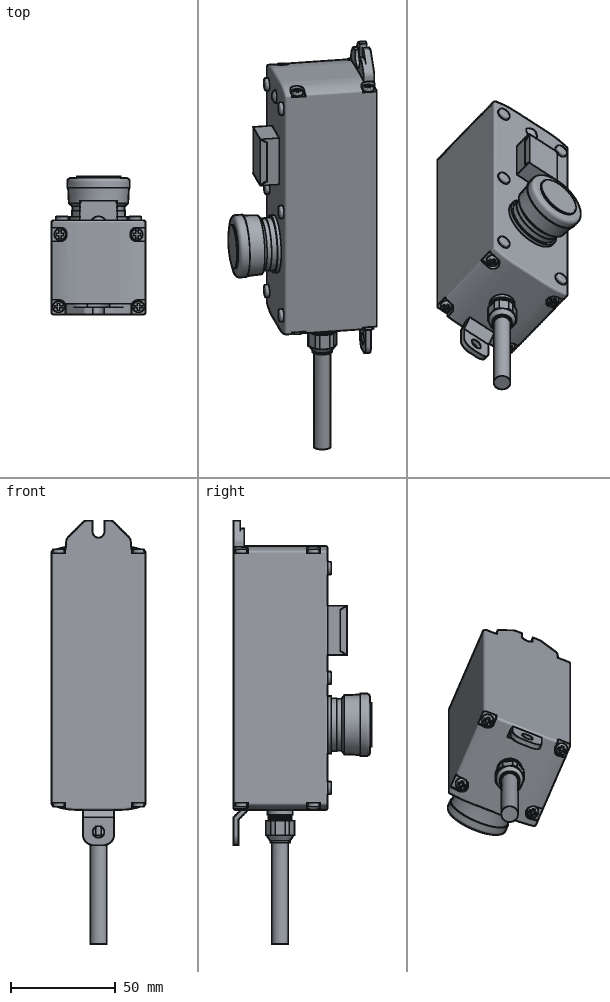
import cadquery as cq
import math


MARGIN = 1.0
PICK_RANGE = 0.1
OVERALL_LENGTH = 201.9

WIDTH = 45.0
DEPTH = 45.0
TUBE_LENGTH = 112.0
CORNER_RADIUS = 1.2
CAP_HEIGHT = 7.0
CAP_FLAT_HALF = 10.0
CAP_SLOPE_RADIUS = 32.0
CAP_EDGE_RADIUS = 1.3

POCKET_FLOOR = 3.6
POCKET_RADIUS = 3.3
POCKET_ROUND = 3.2
CAP_HEAD_RADIUS = 2.7
CAP_HEAD_HEIGHT = 1.9
CAP_HEAD_ROUND = 0.6
CROSS_LENGTH = 3.4
CROSS_WIDTH = 1.1
CROSS_DEPTH = 1.0
REAR_SCREW = (19.1, 3.7)
FRONT_SCREW = (18.4, 38.2)

COVER_HEAD_RADIUS = 3.1
COVER_HEAD_HEIGHT = 1.8
COVER_HEAD_ROUND = 0.8
COVER_SCREW_X = 17.4
COVER_SCREW_INSET = 3.6

LUG_HALF_WIDTH = 15.5
LUG_PLATE = 3.4
LUG_THICKNESS = 5.2
LUG_TOP = 19.0
LUG_STEP = 15.3
LUG_TIP_HALF = 6.65
LUG_SHOULDER = LUG_TOP - (LUG_HALF_WIDTH - LUG_TIP_HALF)
LUG_SHOULDER_ROUND = 3.4
LUG_TIP_ROUND = 1.5
LUG_STEP_ROUND = 4.0
SLOT_RADIUS = 2.75
SLOT_CENTRE = 13.7
SLOT_RECESS_RADIUS = 5.5

TAB_WIDTH = 15.0
TAB_THICKNESS = 2.5
TAB_BOTTOM = -23.7
TAB_BEND = -10.5
TAB_BEND_ANGLE = 45.0
TAB_ROUND = 5.0
TAB_ROOT = 1.0
TAB_HOLE_RADIUS = 2.75
TAB_HOLE_Z = -17.4

DOME_RADIUS = 3.3
DOME_HEIGHT = 1.8
DOME_Z = TUBE_LENGTH - COVER_SCREW_INSET

ROCKER_WIDTH = 17.8
ROCKER_LENGTH = 23.5
ROCKER_HEIGHT = 9.2
ROCKER_Z = 78.7
ROCKER_RECESS_HEIGHT = 3.3
ROCKER_RECESS_INSET = 2.0
ROCKER_RECESS_DEPTH = 0.5

BUTTON_Z = 33.7
BUTTON_TOP = 65.95
BASE_RING_RADIUS = 13.8
BASE_RING_TOP = 46.7
COLLAR_RADIUS = 12.7
NECK_RADIUS = 12.5
COLLAR_TOP = 49.4
NECK_TOP = 51.6
SKIRT_BOTTOM = 53.0
SKIRT_RADIUS = 14.2
SKIRT_TOP_RADIUS = 14.6
CROWN_BOTTOM = 60.4
CROWN_RADIUS = 15.0
CROWN_SHOULDER = 63.3
CROWN_TOP = 65.2
CROWN_ROUND = CROWN_TOP - CROWN_SHOULDER
DISC_RADIUS = 10.5

GLAND_Y = 22.3
FLANGE_RADIUS = 6.1
FLANGE_BOTTOM = -9.3
THREAD_RADIUS = 5.6
THREAD_DEPTH = 0.4
THREAD_GROOVES = 3
NUT_TOP = -12.0
NUT_BOTTOM = -19.1
NUT_RADIUS = 6.92
NUT_FLATS = 13.0
SLEEVE_RADIUS = 4.75
SLEEVE_TOP = -21.6
SLEEVE_BOTTOM = -22.5
CABLE_RADIUS = 4.0
CABLE_BOTTOM = TUBE_LENGTH + LUG_TOP - OVERALL_LENGTH


def block(x_range, y_range, z_range):
    """Axis-aligned box between the given limits."""
    size = [high - low for low, high in (x_range, y_range, z_range)]
    corner = (x_range[0], y_range[0], z_range[0])
    return cq.Workplane("XY").box(*size, centered=False).translate(corner)


def rod(radius, top, bottom):
    """Upright cylinder on the cable axis."""
    return cq.Workplane("XY", origin=(0, GLAND_Y, bottom)).circle(radius).extrude(top - bottom)


def on_top(shape):
    """Move a shape built above Z = 0 onto the upper end of the tube."""
    return shape.translate((0, 0, TUBE_LENGTH))


def make_tube():
    tube = block((-WIDTH / 2, WIDTH / 2), (0, DEPTH), (0, TUBE_LENGTH))
    return tube.edges("|Z").fillet(CORNER_RADIUS)


def slope_height(x):
    """Height of the crowned cap at distance x from its middle."""
    offset = x - CAP_FLAT_HALF
    return CAP_HEIGHT - CAP_SLOPE_RADIUS + math.sqrt(CAP_SLOPE_RADIUS**2 - offset**2)


def make_cap_blank():
    """Crowned cap: flat middle strip falling away in tangent arcs to both sides."""
    edge = WIDTH / 2
    middle = (CAP_FLAT_HALF + edge) / 2
    outline = (
        cq.Workplane("XZ", origin=(0, DEPTH, 0))
        .moveTo(-edge, 0)
        .lineTo(-edge, slope_height(edge))
        .threePointArc((-middle, slope_height(middle)), (-CAP_FLAT_HALF, CAP_HEIGHT))
        .lineTo(CAP_FLAT_HALF, CAP_HEIGHT)
        .threePointArc((middle, slope_height(middle)), (edge, slope_height(edge)))
        .lineTo(edge, 0)
        .close()
    )
    cap = outline.extrude(DEPTH)
    top_of_side = slope_height(edge)
    side_edges = cq.selectors.BoxSelector(
        (-WIDTH, -MARGIN, top_of_side - PICK_RANGE), (WIDTH, DEPTH, top_of_side + PICK_RANGE)
    )
    cap = cap.edges("|Y").edges(side_edges).fillet(CAP_EDGE_RADIUS)
    return cap.edges("|Z").fillet(CORNER_RADIUS)


def make_rear_pocket():
    """Corner pocket, open to the mounting face and to one side."""
    x, y = REAR_SCREW
    pocket = block(
        (x - POCKET_RADIUS, WIDTH / 2 + MARGIN),
        (-MARGIN, y + POCKET_RADIUS),
        (POCKET_FLOOR, CAP_HEIGHT + MARGIN),
    )
    return pocket.edges("|Z and <X and >Y").fillet(POCKET_ROUND)


def make_front_pocket():
    """Round-ended pocket, open to one side."""
    x, y = FRONT_SCREW
    pocket = block(
        (x - POCKET_RADIUS, WIDTH / 2 + MARGIN),
        (y - POCKET_RADIUS, y + POCKET_RADIUS),
        (POCKET_FLOOR, CAP_HEIGHT + MARGIN),
    )
    return pocket.edges("|Z and <X").fillet(POCKET_ROUND)


def make_cap_screw(centre):
    """Pan head with a cross recess, seated on the pocket floor."""
    x, y = centre
    head = cq.Workplane("XY", origin=(x, y, POCKET_FLOOR)).circle(CAP_HEAD_RADIUS).extrude(CAP_HEAD_HEIGHT)
    head = head.faces(">Z").edges().fillet(CAP_HEAD_ROUND)
    top = cq.Workplane("XY", origin=(x, y, POCKET_FLOOR + CAP_HEAD_HEIGHT))
    for length, width in ((CROSS_LENGTH, CROSS_WIDTH), (CROSS_WIDTH, CROSS_LENGTH)):
        head = head.cut(top.rect(length, width).extrude(-CROSS_DEPTH))
    return head


def make_cap():
    """Finished cap standing on Z = 0."""
    cap = make_cap_blank()
    for pocket in (make_rear_pocket(), make_front_pocket()):
        cap = cap.cut(pocket).cut(pocket.mirror("YZ"))
    for centre in (REAR_SCREW, FRONT_SCREW):
        screw = make_cap_screw(centre)
        cap = cap.union(screw).union(screw.mirror("YZ"))
    return cap


def make_lug():
    """Tapered lug with an open slot; its lower part is thicker and recessed round the slot."""
    outline = [
        (-LUG_HALF_WIDTH, POCKET_FLOOR),
        (-LUG_HALF_WIDTH, LUG_SHOULDER),
        (-LUG_TIP_HALF, LUG_TOP),
        (LUG_TIP_HALF, LUG_TOP),
        (LUG_HALF_WIDTH, LUG_SHOULDER),
        (LUG_HALF_WIDTH, POCKET_FLOOR),
    ]
    blank = cq.Workplane("XZ").polyline(outline).close().extrude(-LUG_THICKNESS)
    low, high = LUG_SHOULDER - PICK_RANGE, LUG_SHOULDER + PICK_RANGE
    shoulders = cq.selectors.BoxSelector((-WIDTH, -MARGIN, low), (WIDTH, DEPTH, high))
    blank = blank.edges("|Y").edges(shoulders).fillet(LUG_SHOULDER_ROUND)

    above_step = block((-WIDTH, WIDTH), (-MARGIN, DEPTH), (LUG_STEP, LUG_TOP + MARGIN))
    thick = blank.cut(above_step).edges("|Y and >Z").fillet(LUG_STEP_ROUND)
    recess = cq.Workplane("XZ", origin=(0, LUG_PLATE, SLOT_CENTRE)).circle(SLOT_RECESS_RADIUS)
    thick = thick.cut(recess.extrude(LUG_PLATE - LUG_THICKNESS))

    plate = blank.edges("|Y and >Z").fillet(LUG_TIP_ROUND)
    plate = plate.intersect(block((-WIDTH, WIDTH), (0, LUG_PLATE), (0, LUG_TOP)))
    slot_end = cq.Workplane("XZ", origin=(0, 0, SLOT_CENTRE)).circle(SLOT_RADIUS).extrude(-LUG_THICKNESS)
    slot_mouth = block((-SLOT_RADIUS, SLOT_RADIUS), (0, LUG_THICKNESS), (SLOT_CENTRE, LUG_TOP))
    return thick.union(plate).cut(slot_end).cut(slot_mouth)


def make_tab():
    """Bent strip: a hanging flat in the mounting plane that slopes back into the lower cap."""
    bend_shift = TAB_THICKNESS * math.tan(math.radians(TAB_BEND_ANGLE / 2))
    inner_bend = TAB_BEND - bend_shift
    root = -CAP_HEIGHT + TAB_ROOT
    slope = math.tan(math.radians(TAB_BEND_ANGLE))
    profile = [
        (0, TAB_BOTTOM),
        (0, TAB_BEND),
        ((root - TAB_BEND) * slope, root),
        (TAB_THICKNESS + (root - inner_bend) * slope, root),
        (TAB_THICKNESS, inner_bend),
        (TAB_THICKNESS, TAB_BOTTOM),
    ]
    tab = cq.Workplane("YZ").polyline(profile).close().extrude(TAB_WIDTH / 2, both=True)
    tab = tab.edges("|Y and <Z").fillet(TAB_ROUND)
    hole = cq.Workplane("XZ", origin=(0, 0, TAB_HOLE_Z)).circle(TAB_HOLE_RADIUS).extrude(-TAB_THICKNESS)
    return tab.cut(hole)


def make_cover_screws():
    """Three rows of two button heads on the +Y face."""
    rows = (COVER_SCREW_INSET, TUBE_LENGTH / 2, TUBE_LENGTH - COVER_SCREW_INSET)
    places = [(x, z) for z in rows for x in (-COVER_SCREW_X, COVER_SCREW_X)]
    heads = (
        cq.Workplane("XZ", origin=(0, DEPTH, 0))
        .pushPoints(places)
        .circle(COVER_HEAD_RADIUS)
        .extrude(-COVER_HEAD_HEIGHT)
    )
    return heads.faces(">Y").edges().fillet(COVER_HEAD_ROUND)


def make_dome():
    """Low spherical dome on the middle line of the +Y face."""
    sphere_radius = (DOME_RADIUS**2 + DOME_HEIGHT**2) / (2 * DOME_HEIGHT)
    ball = cq.Workplane("XY").sphere(sphere_radius)
    ball = ball.translate((0, DEPTH + DOME_HEIGHT - sphere_radius, DOME_Z))
    return ball.intersect(block((-WIDTH, WIDTH), (DEPTH, BUTTON_TOP), (0, TUBE_LENGTH)))


def make_rocker():
    """Rectangular switch body with a shallow tapered recess on both long sides."""
    half_width = ROCKER_WIDTH / 2
    half_length = ROCKER_LENGTH / 2
    front = DEPTH + ROCKER_HEIGHT
    body = block(
        (-half_width, half_width), (DEPTH, front), (ROCKER_Z - half_length, ROCKER_Z + half_length)
    )
    recess_end = half_length - ROCKER_RECESS_INSET
    outline = [
        (front, ROCKER_Z - half_length),
        (front, ROCKER_Z + half_length),
        (front - ROCKER_RECESS_HEIGHT, ROCKER_Z + recess_end),
        (front - ROCKER_RECESS_HEIGHT, ROCKER_Z - recess_end),
    ]
    side = cq.Workplane("YZ", origin=(-half_width, 0, 0))
    recess = side.polyline(outline).close().extrude(ROCKER_RECESS_DEPTH)
    return body.cut(recess).cut(recess.mirror("YZ"))


def make_button():
    """Push button turned about an axis along Y."""
    round_offset = CROWN_ROUND * math.sqrt(0.5)
    round_centre = CROWN_RADIUS - CROWN_ROUND
    profile = (
        cq.Workplane("XY")
        .moveTo(0, DEPTH)
        .lineTo(BASE_RING_RADIUS, DEPTH)
        .lineTo(BASE_RING_RADIUS, BASE_RING_TOP)
        .lineTo(COLLAR_RADIUS, BASE_RING_TOP)
        .lineTo(COLLAR_RADIUS, COLLAR_TOP)
        .lineTo(NECK_RADIUS, COLLAR_TOP)
        .lineTo(NECK_RADIUS, NECK_TOP)
        .lineTo(SKIRT_RADIUS, SKIRT_BOTTOM)
        .lineTo(SKIRT_TOP_RADIUS, CROWN_BOTTOM)
        .lineTo(CROWN_RADIUS, CROWN_BOTTOM)
        .lineTo(CROWN_RADIUS, CROWN_SHOULDER)
        .threePointArc(
            (round_centre + round_offset, CROWN_SHOULDER + round_offset), (round_centre, CROWN_TOP)
        )
        .lineTo(DISC_RADIUS, CROWN_TOP)
        .lineTo(DISC_RADIUS, BUTTON_TOP)
        .lineTo(0, BUTTON_TOP)
        .close()
    )
    return profile.revolve(360, (0, 0), (0, 1)).translate((0, 0, BUTTON_Z))


def make_gland_nut():
    """Hexagon nut with flats facing +X and -X and turned corners."""
    across_corners = NUT_FLATS / math.cos(math.radians(30))
    hexagon = cq.Workplane("XY").polygon(6, across_corners).extrude(NUT_TOP - NUT_BOTTOM)
    hexagon = hexagon.rotate((0, 0, 0), (0, 0, 1), 30).translate((0, GLAND_Y, NUT_BOTTOM))
    return hexagon.intersect(rod(NUT_RADIUS, NUT_TOP, NUT_BOTTOM))


def make_gland():
    """Cable gland below the lower cap, with the cable hanging out of it."""
    thread = rod(THREAD_RADIUS, FLANGE_BOTTOM, NUT_TOP)
    pitch = (FLANGE_BOTTOM - NUT_TOP) / THREAD_GROOVES
    for index in range(THREAD_GROOVES):
        top = FLANGE_BOTTOM - index * pitch
        core = rod(THREAD_RADIUS - THREAD_DEPTH, top, top - pitch / 2)
        thread = thread.cut(rod(THREAD_RADIUS, top, top - pitch / 2)).union(core)
    cone = (
        cq.Workplane("XY", origin=(0, GLAND_Y, NUT_BOTTOM))
        .circle(NUT_FLATS / 2)
        .workplane(offset=SLEEVE_TOP - NUT_BOTTOM)
        .circle(SLEEVE_RADIUS)
        .loft()
    )
    gland = rod(FLANGE_RADIUS, -CAP_HEIGHT, FLANGE_BOTTOM).union(thread).union(make_gland_nut()).union(cone)
    sleeve = rod(SLEEVE_RADIUS, SLEEVE_TOP, SLEEVE_BOTTOM)
    cable = rod(CABLE_RADIUS, SLEEVE_BOTTOM, CABLE_BOTTOM)
    return gland.union(sleeve).union(cable)


cap = make_cap()
top_cap = on_top(cap.union(make_lug()))
bottom_cap = cap.mirror("XY").union(make_tab()).union(make_gland())

result = make_tube()
for piece in (top_cap, bottom_cap, make_cover_screws(), make_dome(), make_rocker(), make_button()):
    result = result.union(piece, clean=False)